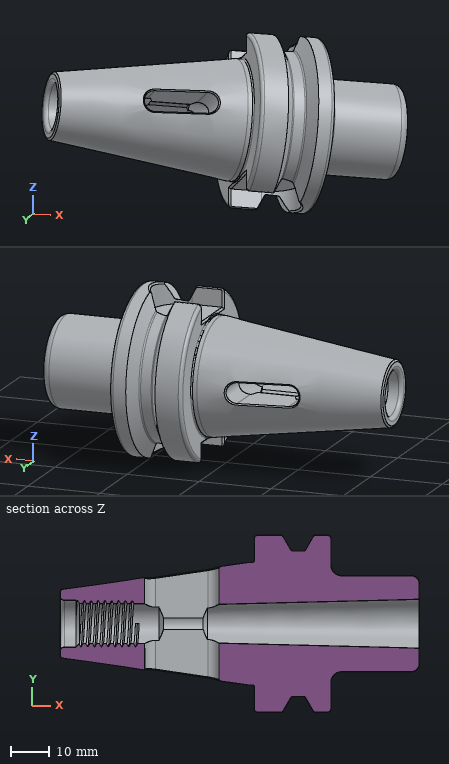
import cadquery as cq
import math

length = 93.4

taper_small_r = 9.0
taper_large_r = 16.0
taper_length = 48.85
end_chamfer_length = 0.4
end_chamfer_depth = 0.6
collar_round = 0.4

flange_front = 50.4
flange_back = 70.4
flange_diameter = 46.0
flange_r = flange_diameter / 2
flange_round = 0.9
groove_bottom_r = 19.0
groove_bottom_start = 60.15
groove_bottom_end = 63.6
groove_root_round = 0.5
groove_flank_angle = 30.0
groove_flank = (flange_r - groove_bottom_r) * math.tan(math.radians(groove_flank_angle))

nose_r = 12.5
nose_fillet = 2.8
nose_round = 2.15

drive_slot_half_width = 8.0
drive_slot_floor = 16.3
drive_slot_end = 67.25
drive_slot_chamfer = 0.51

drift_slot_centre = 31.7
drift_slot_length = 19.2
drift_slot_height = 5.6
drift_slot_chamfer = 0.4

mouth_round = 1.1
counterbore_r = 6.1
counterbore_depth = 4.1
thread_crest_r = 5.1
thread_root_r = 6.0
thread_pitch = 1.8
thread_turns = 9
thread_half_angle = 30.0
thread_overlap = 0.2
bolt_bore_depth = 25.7
drill_half_angle = 59.0

pilot_r = 3.2
socket_mouth_r = 6.35
socket_depth = 55.1
socket_taper_ratio = 1 / 40

clearance = 0.9

tolerance = 0.1


def drill_cone_length(bore_r):
    """Axial length of the drilled cone between a bore and the pilot hole."""
    return (bore_r - pilot_r) / math.tan(math.radians(drill_half_angle))


def revolve_about_x(profile):
    """Revolve a half-profile in the XZ plane, with its axis side on X."""
    return profile.close().revolve(360, (0, 0, 0), (1, 0, 0))


def box_selector(x_range, half_width, z_range):
    """Pick the edges whose centres lie in a box that is symmetric in Y."""
    return cq.selectors.BoxSelector(
        (x_range[0], -half_width, z_range[0]),
        (x_range[1], half_width, z_range[1]),
    )


def make_shank():
    return revolve_about_x(
        cq.Workplane("XZ")
        .lineTo(0, taper_small_r - end_chamfer_depth)
        .lineTo(end_chamfer_length, taper_small_r)
        .lineTo(taper_length, taper_large_r)
        .lineTo(flange_front - collar_round, taper_large_r)
        .radiusArc((flange_front, taper_large_r + collar_round), -collar_round)
        .lineTo(flange_front, 0)
    )


def make_flange():
    flange = revolve_about_x(
        cq.Workplane("XZ")
        .moveTo(flange_front, 0)
        .lineTo(flange_front, flange_r - flange_round)
        .radiusArc((flange_front + flange_round, flange_r), flange_round)
        .lineTo(groove_bottom_start - groove_flank, flange_r)
        .lineTo(groove_bottom_start, groove_bottom_r)
        .lineTo(groove_bottom_end, groove_bottom_r)
        .lineTo(groove_bottom_end + groove_flank, flange_r)
        .lineTo(flange_back - flange_round, flange_r)
        .radiusArc((flange_back, flange_r - flange_round), flange_round)
        .lineTo(flange_back, 0)
    )
    groove_roots = box_selector(
        (groove_bottom_start - tolerance, groove_bottom_end + tolerance),
        flange_r,
        (-flange_r, flange_r),
    )
    return flange.edges(groove_roots).edges("%CIRCLE").fillet(groove_root_round)


def make_nose():
    return revolve_about_x(
        cq.Workplane("XZ")
        .moveTo(flange_back, 0)
        .lineTo(flange_back, nose_r + nose_fillet)
        .radiusArc((flange_back + nose_fillet, nose_r), -nose_fillet)
        .lineTo(length - nose_round, nose_r)
        .radiusArc((length, nose_r - nose_round), nose_round)
        .lineTo(length, 0)
    )


def cut_drive_slots(flange):
    arc_centre = drive_slot_end - drive_slot_half_width
    straight_start = flange_front - clearance
    cutter = (
        cq.Workplane("XY", origin=(0, 0, drive_slot_floor))
        .moveTo(straight_start, -drive_slot_half_width)
        .lineTo(arc_centre, -drive_slot_half_width)
        .threePointArc((drive_slot_end, 0), (arc_centre, drive_slot_half_width))
        .lineTo(straight_start, drive_slot_half_width)
        .close()
        .extrude(flange_r)
    )
    return flange.cut(cutter).cut(cutter.mirror("XY"))


def chamfer_drive_slots(flange):
    """Break the slot edges on the front face and around the flange rim."""
    half_width = drive_slot_half_width + tolerance
    rim_bottom = math.sqrt(flange_r**2 - drive_slot_half_width**2) - flange_round
    front = (flange_front - tolerance, flange_front + tolerance)
    along_rim = (flange_front, drive_slot_end)
    floor = drive_slot_floor - tolerance
    slot_edges = (
        box_selector(front, half_width, (floor, flange_r))
        + box_selector(front, half_width, (-flange_r, -floor))
        + box_selector(along_rim, half_width, (rim_bottom, flange_r))
        + box_selector(along_rim, half_width, (-flange_r, -rim_bottom))
    )
    return flange.edges(slot_edges).chamfer(drive_slot_chamfer)


def cut_drift_slot(shank):
    cutter = (
        cq.Workplane("XZ")
        .center(drift_slot_centre, 0)
        .slot2D(drift_slot_length, drift_slot_height)
        .extrude(taper_large_r, both=True)
    )
    half_length = drift_slot_length / 2
    half_height = drift_slot_height / 2
    slot_x = (drift_slot_centre - half_length, drift_slot_centre + half_length)
    mouths = box_selector(
        slot_x, taper_large_r, (-half_height - tolerance, half_height + tolerance)
    )
    return shank.cut(cutter).edges(mouths).chamfer(drift_slot_chamfer)


def make_bore():
    lead_in_end = counterbore_depth + counterbore_r - thread_crest_r
    socket_end = length - socket_depth
    socket_end_r = socket_mouth_r - socket_depth * socket_taper_ratio
    return revolve_about_x(
        cq.Workplane("XZ")
        .lineTo(0, counterbore_r + mouth_round)
        .radiusArc((mouth_round, counterbore_r), -mouth_round)
        .lineTo(counterbore_depth, counterbore_r)
        .lineTo(lead_in_end, thread_crest_r)
        .lineTo(bolt_bore_depth, thread_crest_r)
        .lineTo(bolt_bore_depth + drill_cone_length(thread_crest_r), pilot_r)
        .lineTo(socket_end - drill_cone_length(socket_end_r), pilot_r)
        .lineTo(socket_end, socket_end_r)
        .lineTo(length, socket_mouth_r)
        .lineTo(length, 0)
    )


def make_thread():
    """Helical V-shaped ridge that cuts the internal thread of the draw-bolt bore."""
    base_r = thread_crest_r - thread_overlap
    half_width = (thread_root_r - base_r) * math.tan(math.radians(thread_half_angle))
    helix = cq.Wire.makeHelix(thread_pitch, thread_pitch * thread_turns, base_r)
    ridge = (
        cq.Workplane("XZ")
        .moveTo(base_r, -half_width)
        .lineTo(thread_root_r, 0)
        .lineTo(base_r, half_width)
        .close()
        .sweep(cq.Workplane(helix), isFrenet=True)
    )
    return ridge.rotate((0, 0, 0), (0, 1, 0), 90).translate((counterbore_depth, 0, 0))


shank = cut_drift_slot(make_shank())
flange = chamfer_drive_slots(cut_drive_slots(make_flange()))
result = shank.union(flange).union(make_nose()).cut(make_bore()).cut(make_thread())